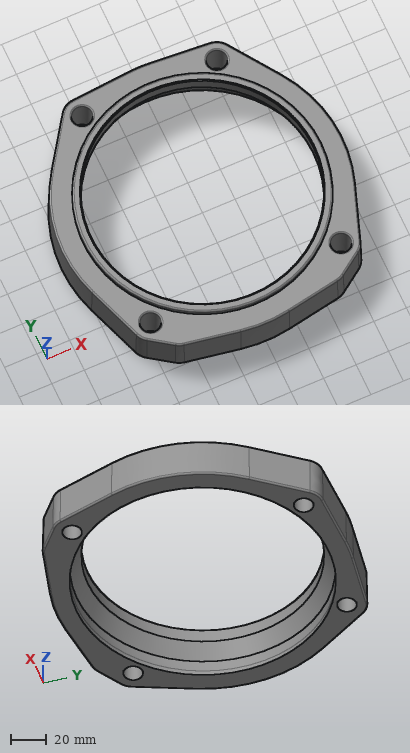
import cadquery as cq
import math

total_height = 29.4
flange_height = 25.4
edge_round = 1.0

overall_width = 172.7
ear_radius = 11.5
draft_angle = 1.2
disc_radius = overall_width / 2 + edge_round * math.tan(math.radians(draft_angle))

bolt_circle_radius = 82.9
upper_bolt_angle = 60.0
lower_bolt_angle = -45.0
bolt_hole_top_diameter = 12.1
bolt_hole_round = 0.9

lower_flat_angle = -55.0
bottom_line_angle = -80.0

rim_radius = 73.0

throat_radius = 68.0
throat_chamfer = 0.7
cone_top = 19.9
seat_radius = 74.5
seat_top = 10.4
lead_in_radius = 74.6
lead_in_height = 3.1


def polar(radius, angle, center=(0.0, 0.0)):
    """Point at a radius and angle (degrees) about a center."""
    a = math.radians(angle)
    return (center[0] + radius * math.cos(a), center[1] + radius * math.sin(a))


def corner_of_lines(distance_a, angle_a, distance_b, angle_b):
    """Meeting point of two lines given by distance from the origin and normal angle."""
    a = math.radians(angle_a)
    b = math.radians(angle_b)
    turn = math.sin(b - a)
    x = (distance_a * math.sin(b) - distance_b * math.sin(a)) / turn
    y = (distance_b * math.cos(a) - distance_a * math.cos(b)) / turn
    return (x, y)


upper_bolt = polar(bolt_circle_radius, upper_bolt_angle)
lower_bolt = polar(bolt_circle_radius, lower_bolt_angle)
bolt_centers = [(side * x, y) for side in (1, -1) for x, y in (upper_bolt, lower_bolt)]


def outline_arcs():
    """Right-hand arcs as (center, radius, start angle, end angle), bottom to top."""
    origin = (0.0, 0.0)
    spread = math.degrees(math.acos((disc_radius - ear_radius) / bolt_circle_radius))
    flat_turn = math.radians(lower_flat_angle - lower_bolt_angle)
    bottom_corner = corner_of_lines(
        disc_radius - ear_radius,
        bottom_line_angle,
        bolt_circle_radius * math.cos(flat_turn),
        lower_flat_angle,
    )
    return [
        (bottom_corner, ear_radius, bottom_line_angle, lower_flat_angle),
        (lower_bolt, ear_radius, lower_flat_angle, lower_bolt_angle + spread),
        (origin, disc_radius, lower_bolt_angle + spread, upper_bolt_angle - spread),
        (upper_bolt, ear_radius, upper_bolt_angle - spread, upper_bolt_angle + spread),
    ]


def mirrored(arc):
    """The same arc reflected to the left side, still running counterclockwise."""
    (x, y), radius, start, end = arc
    return ((-x, y), radius, 180 - end, 180 - start)


def flange_outline():
    right = outline_arcs()
    top_start = right[-1][3]
    top = ((0.0, 0.0), disc_radius, top_start, 180 - top_start)
    bottom = ((0.0, 0.0), disc_radius, -180 - bottom_line_angle, bottom_line_angle)
    arcs = right + [top] + [mirrored(arc) for arc in reversed(right)] + [bottom]

    first_center, first_radius, first_angle, _ = arcs[0]
    outline = cq.Workplane("XY").moveTo(*polar(first_radius, first_angle, first_center))
    for index, (center, radius, start, end) in enumerate(arcs):
        if index > 0:
            outline = outline.lineTo(*polar(radius, start, center))
        middle = polar(radius, (start + end) / 2, center)
        outline = outline.threePointArc(middle, polar(radius, end, center))
    return outline.close()


def flange():
    body = flange_outline().extrude(flange_height, taper=draft_angle)
    return body.faces("<Z or >Z").edges().fillet(edge_round)


def rim():
    ring = cq.Workplane("XY").circle(rim_radius).extrude(total_height)
    return ring.faces(">Z").edges().fillet(edge_round)


def bore():
    chamfer_start = total_height - throat_chamfer
    return (
        cq.Workplane("XZ")
        .lineTo(lead_in_radius, 0)
        .lineTo(seat_radius, lead_in_height)
        .lineTo(seat_radius, seat_top)
        .lineTo(throat_radius, cone_top)
        .lineTo(throat_radius, chamfer_start)
        .lineTo(throat_radius + throat_chamfer, total_height)
        .lineTo(0, total_height)
        .close()
        .revolve(360, (0, 0, 0), (0, 1, 0))
    )


def bolt_holes(body):
    """Cut the drafted holes, narrowing downward, and round their upper edges."""
    cutters = (
        cq.Workplane("XY", origin=(0, 0, flange_height))
        .pushPoints(bolt_centers)
        .circle(bolt_hole_top_diameter / 2)
        .extrude(-flange_height, taper=draft_angle)
    )
    drilled = body.cut(cutters)
    for x, y in bolt_centers:
        mouth = cq.selectors.NearestToPointSelector((x, y, flange_height))
        drilled = drilled.edges(mouth).fillet(bolt_hole_round)
    return drilled


result = bolt_holes(flange().union(rim()).cut(bore()))